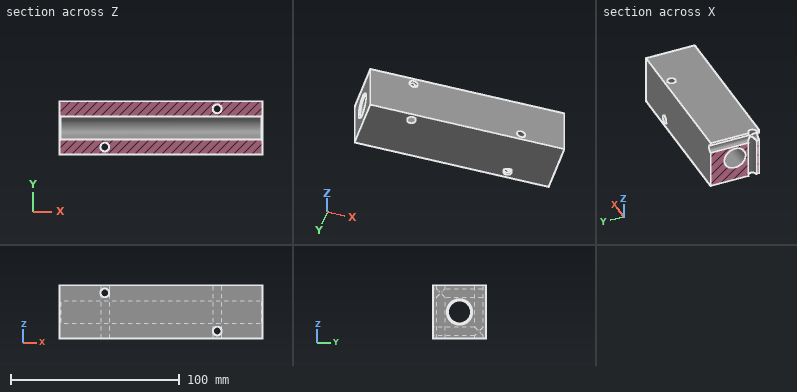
import cadquery as cq

length = 120.6
side = 31.7

bore_diameter = 13.5
mouth_diameter = 15.2
mouth_chamfer = (mouth_diameter - bore_diameter) / 2

cross_hole_diameter = 5.1
cross_hole_spacing = 66.7
cross_hole_offset = 11.3


def cross_holes(plane, points):
    """Cylinders spanning the bar, normal to the given plane."""
    sketch = cq.Workplane(plane).pushPoints(points)
    return sketch.circle(cross_hole_diameter / 2).extrude(side, both=True)


body = cq.Workplane("XY").box(length, side, side)
body = body.faces("<X").workplane().hole(bore_diameter)
body = body.faces("<X or >X").edges("%CIRCLE").chamfer(mouth_chamfer)

half_spacing = cross_hole_spacing / 2
front_points = [(-half_spacing, cross_hole_offset), (half_spacing, -cross_hole_offset)]
top_points = [(-half_spacing, -cross_hole_offset), (half_spacing, cross_hole_offset)]

result = body.cut(cross_holes("XZ", front_points)).cut(cross_holes("XY", top_points))